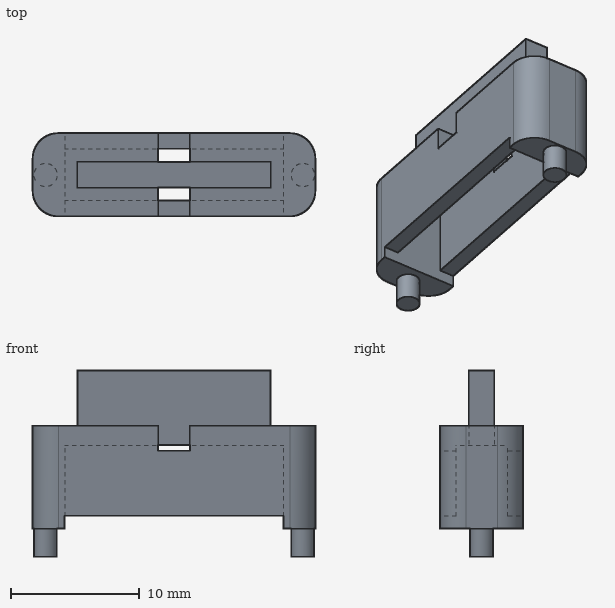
import cadquery as cq

body_length = 22.0
body_width = 6.5
body_height = 8.0
corner_radius = 2.0

cavity_length = 17.0
cavity_width = 4.0
roof_thickness = 1.52

foot_height = 1.0

notch_length = 2.46
notch_depth = 1.94

tongue_length = 15.0
tongue_width = 2.0
tongue_rise = 4.3

pin_diameter = 1.8
pin_length = 2.2
pin_spacing = 20.0


def block(length, width, bottom, top):
    """Box centred on the Z axis between two heights."""
    return (
        cq.Workplane("XY")
        .workplane(offset=bottom)
        .rect(length, width)
        .extrude(top - bottom)
    )


def make_shell():
    """Rounded body with cavity, underside relief and roof notch."""
    body = block(body_length, body_width, 0, body_height)
    body = body.edges("|Z").fillet(corner_radius)
    cavity = block(cavity_length, cavity_width, 0, body_height - roof_thickness)
    relief = block(cavity_length, body_width, 0, foot_height)
    notch = block(notch_length, body_width, body_height - notch_depth, body_height)
    return body.cut(cavity).cut(relief).cut(notch)


def make_tongue():
    """Tongue rising from the underside of the roof."""
    bottom = body_height - roof_thickness
    return block(tongue_length, tongue_width, bottom, body_height + tongue_rise)


def make_pins():
    """One pin below each foot."""
    return (
        cq.Workplane("XY")
        .rarray(pin_spacing, 0.22, 2, 1)
        .circle(pin_diameter / 2)
        .extrude(-pin_length)
    )


result = make_shell().union(make_tongue()).union(make_pins())